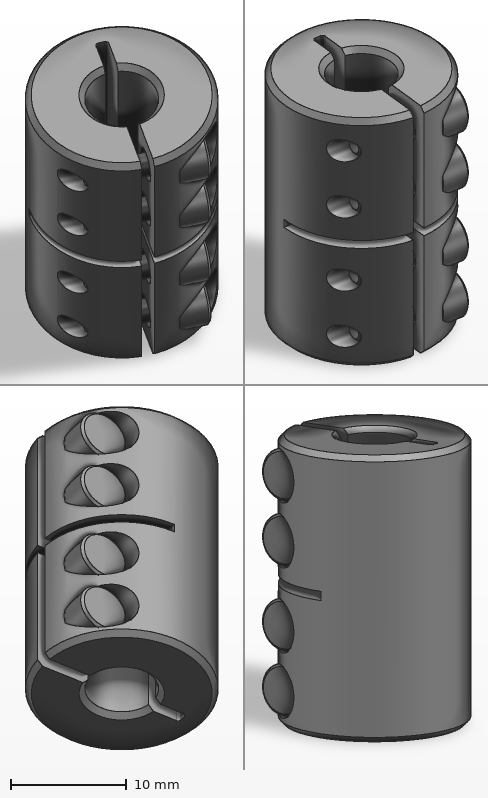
import cadquery as cq

body_diameter = 16.64
body_length = 25.4
edge_chamfer = 0.5
bore_diameter = 6.35

slot_width = 1.15
slot_end_x = -6.3
slot_corner_radius = 0.3

slit_height = 0.81

screw_x = 5.55
outer_screw_z = 9.52
inner_screw_z = 3.75
shank_diameter = 2.08
shank_tip_y = -4.95
shank_tip_chamfer = 0.35
head_diameter = 4.65
head_height = 2.85
head_seat_y = 2.97
head_chamfer = 0.23

clearance_diameter = 3.05
tapped_diameter = 2.25

body_radius = body_diameter / 2


def rod_along_y(diameter, start_y, end_y, z):
    """Cylinder on a screw axis, from start_y up to end_y."""
    return (
        cq.Workplane("XZ", origin=(screw_x, start_y, z))
        .circle(diameter / 2)
        .extrude(start_y - end_y)
    )


def make_body():
    """Chamfered cylinder with a bore countersunk at both ends."""
    return (
        cq.Workplane("XY")
        .circle(body_radius)
        .circle(bore_diameter / 2)
        .extrude(body_length / 2, both=True)
        .faces("<Z or >Z")
        .chamfer(edge_chamfer)
    )


def make_slot():
    """Full-length slot with rounded corners at its closed end."""
    return (
        cq.Workplane("XY")
        .box(body_radius - slot_end_x, slot_width, body_length)
        .edges("|Z and <X")
        .fillet(slot_corner_radius)
        .translate(((body_radius + slot_end_x) / 2, 0, 0))
    )


def make_slit():
    """Slit across the +X half of the body at mid-length."""
    return (
        cq.Workplane("XY")
        .box(body_radius, body_diameter, slit_height)
        .translate((body_radius / 2, 0, 0))
    )


def make_screw_hole(z):
    """Tapped hole on the -Y side, clearance hole and head pocket on the +Y side."""
    tapped_hole = rod_along_y(tapped_diameter, -body_radius, 0, z)
    clearance_hole = rod_along_y(clearance_diameter, 0, head_seat_y, z)
    head_pocket = rod_along_y(head_diameter, head_seat_y, body_radius, z)
    return tapped_hole.union(clearance_hole).union(head_pocket)


def make_screw(z):
    """Cap screw with a chamfered tip and head, seated in its pocket."""
    shank = rod_along_y(shank_diameter, shank_tip_y, head_seat_y, z)
    shank = shank.faces("<Y").chamfer(shank_tip_chamfer)
    head = rod_along_y(head_diameter, head_seat_y, head_seat_y + head_height, z)
    head = head.faces(">Y").chamfer(head_chamfer)
    return shank.union(head)


result = make_body().cut(make_slot()).cut(make_slit())

for screw_z in (-outer_screw_z, -inner_screw_z, inner_screw_z, outer_screw_z):
    result = result.cut(make_screw_hole(screw_z)).union(make_screw(screw_z))